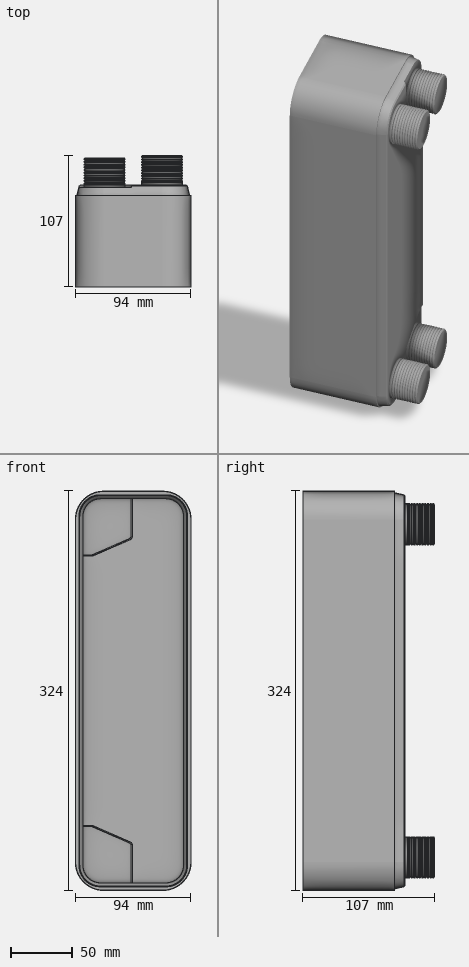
import cadquery as cq
import math

WIDTH = 94.0
HEIGHT = 324.0
CORNER_RADIUS = 23.0
BACK_FACE_Y = 83.0
TAPER_START_Y = 74.5
BACK_LEDGE = 1.3
BACK_TAPER_INSET = 2.0
BACK_CHAMFER = 1.0

TRAY_CORNER_CENTRE = 20.5
RIM_WIDTH = 3.0
RIM_CHAMFER = 0.5
TRAY_DEPTH = 7.0
TRAY_TAPER_INSET = 2.5

FRONT_PAD_DEPTH = 1.0
BACK_PAD_DEPTH = 2.0
PAD_DRAFT = 1.0
PAD_EDGE_X = -0.5
PAD_BEND_Z = 123.5
PAD_SLOPE_END_X = -33.5
PAD_SLOPE_END_Z = 109.2
PAD_BEND_RADIUS = 5.0

PORT_END_Y = 107.0
PORT_X = 23.3
PORT_Z = 135.0
CREST_DIAMETER = 33.5
THREAD_DEPTH = 1.0
THREAD_PITCH = 2.2
THREAD_COUNT = 10
CREST_FLAT = 0.3


def outline(inset, corner_centre):
    """Housing outline moved inward by inset, with corner arcs centred corner_centre from the sides."""
    blank = cq.Sketch().rect(WIDTH - 2 * inset, HEIGHT - 2 * inset)
    return blank.vertices().fillet(corner_centre - inset)


def plane_at(y):
    """Plane square to Y, with local x along X and local y along Z."""
    return cq.Workplane("XZ", origin=(0, y, 0))


def frustum(front_y, front_inset, back_y, back_inset, corner_centre=CORNER_RADIUS):
    """Solid between two inset outlines of the housing."""
    front = outline(front_inset, corner_centre)
    back = outline(back_inset, corner_centre)
    back = back.moved(cq.Location(cq.Vector(0, 0, front_y - back_y)))
    return plane_at(front_y).placeSketch(front, back).loft()


def corner_pad(surface_y, floor_y):
    """Drafted cutter for the upper corner pad, running past the housing at the top and the -X side."""
    draft_angle = math.degrees(math.atan2(PAD_DRAFT, abs(floor_y - surface_y)))
    pad = (
        plane_at(surface_y)
        .moveTo(PAD_EDGE_X, HEIGHT)
        .lineTo(PAD_EDGE_X, PAD_BEND_Z)
        .lineTo(PAD_SLOPE_END_X, PAD_SLOPE_END_Z)
        .lineTo(-WIDTH, PAD_SLOPE_END_Z)
        .lineTo(-WIDTH, HEIGHT)
        .close()
        .extrude(surface_y - floor_y, taper=draft_angle)
    )
    reach = 3.2
    bend = cq.selectors.BoxSelector(
        (PAD_EDGE_X - reach, surface_y - reach, PAD_BEND_Z - reach),
        (PAD_EDGE_X + reach, surface_y + reach, PAD_BEND_Z + reach),
    )
    return pad.edges(bend).fillet(PAD_BEND_RADIUS)


def with_lower_copy(body):
    return body.union(body.mirror("XY"))


def make_body():
    """Straight-sided part of the housing and its tapered back."""
    body = frustum(0, 0, TAPER_START_Y, 0)
    back = frustum(TAPER_START_Y, BACK_LEDGE, BACK_FACE_Y, BACK_LEDGE + BACK_TAPER_INSET)
    return body.union(back.faces(">Y").chamfer(BACK_CHAMFER))


def make_tray():
    """Cutter for the chamfered tray mouth, the tapered tray and the pads in its floor."""
    mouth_inset = RIM_WIDTH + RIM_CHAMFER
    floor_inset = mouth_inset + TRAY_TAPER_INSET
    pad_floor_y = TRAY_DEPTH + FRONT_PAD_DEPTH
    mouth = frustum(0, RIM_WIDTH, RIM_CHAMFER, mouth_inset, TRAY_CORNER_CENTRE)
    tray = frustum(RIM_CHAMFER, mouth_inset, TRAY_DEPTH, floor_inset, TRAY_CORNER_CENTRE)
    pad_bounds = frustum(TRAY_DEPTH, floor_inset, pad_floor_y, floor_inset, TRAY_CORNER_CENTRE)
    pads = with_lower_copy(corner_pad(TRAY_DEPTH, pad_floor_y)).intersect(pad_bounds)
    return mouth.union(tray).union(pads)


def make_housing():
    back_pads = with_lower_copy(corner_pad(BACK_FACE_Y, BACK_FACE_Y - BACK_PAD_DEPTH))
    return make_body().cut(make_tray()).cut(back_pads)


def make_port(x, z, base_y):
    """Port standing on base_y: a plain collar, then thread ridges up to the free end."""
    length = PORT_END_Y - BACK_FACE_Y
    crest_radius = CREST_DIAMETER / 2
    root_radius = crest_radius - THREAD_DEPTH
    collar = length - THREAD_COUNT * THREAD_PITCH
    profile = cq.Workplane("XY").moveTo(0, 0).lineTo(crest_radius, 0).lineTo(crest_radius, collar)
    profile = profile.lineTo(root_radius, collar)
    for ridge in range(THREAD_COUNT):
        start = collar + ridge * THREAD_PITCH
        middle = start + THREAD_PITCH / 2
        profile = profile.lineTo(crest_radius, middle - CREST_FLAT / 2)
        profile = profile.lineTo(crest_radius, middle + CREST_FLAT / 2)
        profile = profile.lineTo(root_radius, start + THREAD_PITCH)
    port = profile.lineTo(0, length).close().revolve(360, (0, 0, 0), (0, 1, 0))
    return port.translate((x, base_y, z))


def make_ports():
    ports = []
    for x, base_y in ((-PORT_X, BACK_FACE_Y - BACK_PAD_DEPTH), (PORT_X, BACK_FACE_Y)):
        for z in (-PORT_Z, PORT_Z):
            ports.append(make_port(x, z, base_y))
    return ports


housing = make_housing()
ports = make_ports()
result = cq.Compound.makeCompound([housing.val(), *[port.val() for port in ports]])